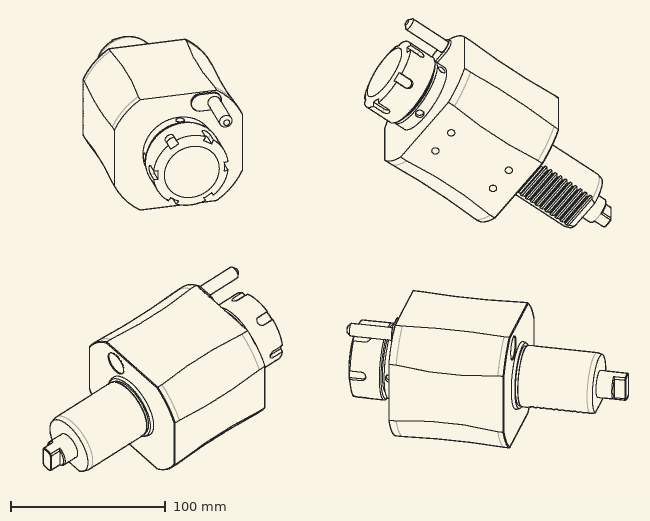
import cadquery as cq
import math


HOUSING_LENGTH = 76.4
HOUSING_WIDTH = 86.0
HOUSING_HEIGHT = 80.0
CORNER_RADIUS = 47.5
WAIST_RADIUS = 46.5
WAIST_START = 4.0
WAIST_END = 71.5
HOUSING_CHAMFER = 0.5
PLUG_RADIUS = 7.8
PLUG_Y = 15.9
PLUG_Z = 27.6
PLUG_DEPTH = 0.7

SHANK_RADIUS = 20.0
SHANK_LENGTH = 53.1
SHANK_TAPER_LENGTH = 3.3
SHANK_TAPER_DEPTH = 0.9
FLANGE_RADIUS = 22.0
FLANGE_LENGTH = 2.2
FLANGE_RIM_RADIUS = 21.3
FLANGE_BULGE_RADIUS = 21.9
RELIEF_RADIUS = 19.5
RELIEF_LENGTH = 1.6

FLAT_Z = -15.9
FLAT_END = -8.8
RAMP_RUN = 4.0
TOOTH_GAPS = 10
FIRST_GAP_X = -48.0
LAST_GAP_X = -12.0
TOOTH_PITCH = (LAST_GAP_X - FIRST_GAP_X) / (TOOTH_GAPS - 1)
GAP_FLOOR_WIDTH = 1.3
GAP_MOUTH_WIDTH = 3.3
GAP_DEPTH = 1.0

TANG_RADIUS = 8.8
TANG_END = -71.9
SHOULDER_X = -64.3
SHOULDER_CHAMFER = 0.7
BLADE_HALF_THICKNESS = 4.2
BLADE_HALF_FLAT = 6.7
BLADE_TIP_HALF_THICKNESS = 3.5
BLADE_END_CHAMFER = 0.5

COLLAR_RADIUS = 23.8
COLLAR_END = 84.0
NECK_RADIUS = 20.2
NUT_RADIUS = 25.1
NUT_START = 86.0
NUT_CHAMFER = 0.9
NUT_TAPER_START = 106.4
NUT_END = 108.7
NUT_END_RADIUS = 18.5
PIN_HOLE_RADIUS = 2.7
PIN_HOLE_X = 80.4
PIN_HOLE_DEPTH = 2.7
PIN_HOLES = 4
NUT_SLOTS = 6
SLOT_START = 95.9
SLOT_WIDTH = 6.1
SLOT_FLOOR_RADIUS = 22.2

PIN_RADIUS = 4.2
PIN_Y = 23.5
PIN_Z = 32.3
PIN_END = 108.4
PIN_CHAMFER = 2.2
BASE_LENGTH = 20.2
BASE_WIDTH = 12.0
BASE_THICKNESS = 1.6
BASE_Y = 18.5
BASE_Z = 33.0

STUD_RADIUS = 2.5
STUD_PROTRUSION = 1.6
STUD_X = (14.6, 61.2)
STUD_Y = 8.5


def turned(outline):
    """Closed (x, radius) outline revolved about the tool axis."""
    return outline.close().revolve(360, (0, 0, 0), (1, 0, 0))


def rod(x_start, x_end, radius, y=0, z=0):
    """Cylinder along X."""
    return (
        cq.Workplane("YZ", origin=(x_start, y, z))
        .circle(radius)
        .extrude(x_end - x_start)
    )


def make_housing():
    block = cq.Workplane("XY").box(
        HOUSING_LENGTH, HOUSING_WIDTH, HOUSING_HEIGHT, centered=(False, True, True)
    )
    waist_middle = (WAIST_START + WAIST_END) / 2
    envelope = turned(
        cq.Workplane("XY")
        .lineTo(0, CORNER_RADIUS)
        .lineTo(WAIST_START, CORNER_RADIUS)
        .threePointArc((waist_middle, WAIST_RADIUS), (WAIST_END, CORNER_RADIUS))
        .lineTo(HOUSING_LENGTH, CORNER_RADIUS)
        .lineTo(HOUSING_LENGTH, 0)
    )
    housing = block.intersect(envelope).faces("<X").chamfer(HOUSING_CHAMFER)
    return housing.cut(rod(0, PLUG_DEPTH, PLUG_RADIUS, PLUG_Y, PLUG_Z))


def make_shank():
    relief_start = -FLANGE_LENGTH - RELIEF_LENGTH
    shank = turned(
        cq.Workplane("XY")
        .moveTo(-SHANK_LENGTH, 0)
        .lineTo(-SHANK_LENGTH, SHANK_RADIUS - SHANK_TAPER_DEPTH)
        .lineTo(-SHANK_LENGTH + SHANK_TAPER_LENGTH, SHANK_RADIUS)
        .lineTo(relief_start, SHANK_RADIUS)
        .lineTo(relief_start, RELIEF_RADIUS)
        .lineTo(-FLANGE_LENGTH, RELIEF_RADIUS)
        .lineTo(-FLANGE_LENGTH, FLANGE_RIM_RADIUS)
        .threePointArc((-FLANGE_LENGTH / 2, FLANGE_BULGE_RADIUS), (0, FLANGE_RADIUS))
        .lineTo(0, 0)
    )
    return shank.cut(make_tooth_cutter())


def make_tooth_cutter():
    """Removes the flat below the shank, its run-out ramp and the tooth gaps."""
    below = -SHANK_RADIUS
    cutter = (
        cq.Workplane("XZ")
        .moveTo(-SHANK_LENGTH, below)
        .lineTo(-SHANK_LENGTH, FLAT_Z)
        .lineTo(FLAT_END, FLAT_Z)
        .lineTo(FLAT_END + RAMP_RUN, below)
        .close()
        .extrude(SHANK_RADIUS, both=True)
    )
    for i in range(TOOTH_GAPS):
        x = FIRST_GAP_X + i * TOOTH_PITCH
        gap = (
            cq.Workplane("XZ")
            .moveTo(x - GAP_MOUTH_WIDTH / 2, FLAT_Z)
            .lineTo(x - GAP_FLOOR_WIDTH / 2, FLAT_Z + GAP_DEPTH)
            .lineTo(x + GAP_FLOOR_WIDTH / 2, FLAT_Z + GAP_DEPTH)
            .lineTo(x + GAP_MOUTH_WIDTH / 2, FLAT_Z)
            .close()
            .extrude(SHANK_RADIUS, both=True)
        )
        cutter = cutter.union(gap)
    return cutter


def make_tang():
    stem = rod(SHOULDER_X, -SHANK_LENGTH, TANG_RADIUS).faces("<X").chamfer(SHOULDER_CHAMFER)
    tip_z = math.sqrt(TANG_RADIUS**2 - BLADE_TIP_HALF_THICKNESS**2)
    blade = (
        cq.Workplane("YZ", origin=(TANG_END, 0, 0))
        .moveTo(BLADE_HALF_THICKNESS, -BLADE_HALF_FLAT)
        .lineTo(BLADE_HALF_THICKNESS, BLADE_HALF_FLAT)
        .lineTo(BLADE_TIP_HALF_THICKNESS, tip_z)
        .threePointArc((0, TANG_RADIUS), (-BLADE_TIP_HALF_THICKNESS, tip_z))
        .lineTo(-BLADE_HALF_THICKNESS, BLADE_HALF_FLAT)
        .lineTo(-BLADE_HALF_THICKNESS, -BLADE_HALF_FLAT)
        .lineTo(-BLADE_TIP_HALF_THICKNESS, -tip_z)
        .threePointArc((0, -TANG_RADIUS), (BLADE_TIP_HALF_THICKNESS, -tip_z))
        .close()
        .extrude(-SHANK_LENGTH - TANG_END)
        .faces("<X")
        .chamfer(BLADE_END_CHAMFER)
    )
    return stem.union(blade)


def make_nut():
    nut = turned(
        cq.Workplane("XY")
        .moveTo(HOUSING_LENGTH, 0)
        .lineTo(HOUSING_LENGTH, COLLAR_RADIUS)
        .lineTo(COLLAR_END, COLLAR_RADIUS)
        .lineTo(COLLAR_END, NECK_RADIUS)
        .lineTo(NUT_START, NECK_RADIUS)
        .lineTo(NUT_START, NUT_RADIUS - NUT_CHAMFER)
        .lineTo(NUT_START + NUT_CHAMFER, NUT_RADIUS)
        .lineTo(NUT_TAPER_START, NUT_RADIUS)
        .lineTo(NUT_END, NUT_END_RADIUS)
        .lineTo(NUT_END, 0)
    )

    hole = (
        cq.Workplane("XY", origin=(PIN_HOLE_X, 0, COLLAR_RADIUS - PIN_HOLE_DEPTH))
        .circle(PIN_HOLE_RADIUS)
        .extrude(2 * PIN_HOLE_DEPTH)
    )
    for i in range(PIN_HOLES):
        nut = nut.cut(hole.rotate((0, 0, 0), (1, 0, 0), i * 360 / PIN_HOLES))

    slot_height = NUT_RADIUS - SLOT_FLOOR_RADIUS
    round_x = SLOT_START + SLOT_WIDTH / 2
    slot = (
        cq.Workplane("XZ", origin=(0, -SLOT_FLOOR_RADIUS, 0))
        .moveTo(NUT_END, SLOT_WIDTH / 2)
        .lineTo(round_x, SLOT_WIDTH / 2)
        .threePointArc((SLOT_START, 0), (round_x, -SLOT_WIDTH / 2))
        .lineTo(NUT_END, -SLOT_WIDTH / 2)
        .close()
        .extrude(slot_height)
    )
    for i in range(NUT_SLOTS):
        nut = nut.cut(slot.rotate((0, 0, 0), (1, 0, 0), i * 360 / NUT_SLOTS))
    return nut


def make_locating_pin():
    base = (
        cq.Workplane("YZ", origin=(HOUSING_LENGTH, BASE_Y, BASE_Z))
        .slot2D(BASE_LENGTH, BASE_WIDTH)
        .extrude(BASE_THICKNESS)
    )
    pin = rod(HOUSING_LENGTH, PIN_END, PIN_RADIUS, PIN_Y, PIN_Z)
    return base.union(pin.faces(">X").chamfer(PIN_CHAMFER))


def make_studs():
    stud_z = -HOUSING_HEIGHT / 2 - STUD_PROTRUSION + STUD_RADIUS
    places = [(x, y, stud_z) for x in STUD_X for y in (-STUD_Y, STUD_Y)]
    return cq.Workplane("XY").pushPoints(places).sphere(STUD_RADIUS)


result = (
    make_housing()
    .union(make_shank())
    .union(make_tang())
    .union(make_nut())
    .union(make_locating_pin())
    .union(make_studs())
)